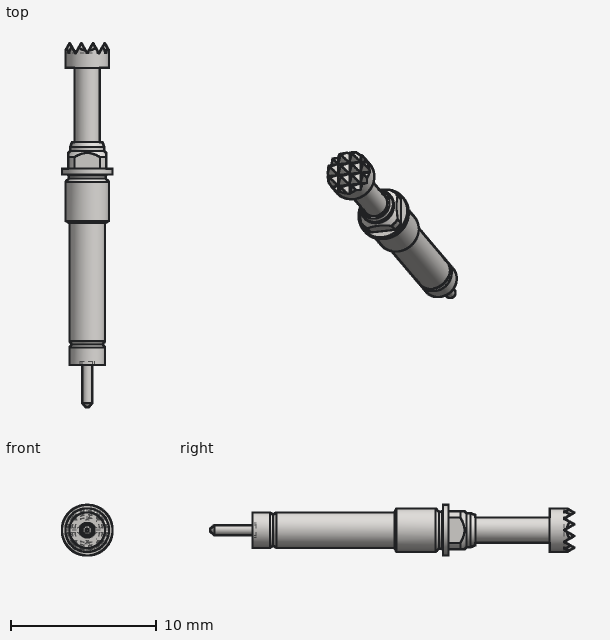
import cadquery as cq

length = 25.0

pin_radius = 0.35
pin_tip_radius = 0.1
pin_taper = 0.3
recess_radius = 0.5
recess_depth = 0.25

barrel_radius = 1.22
barrel_start = 2.9
groove_centre = 4.32
groove_half_width = 0.22
groove_radius = 1.08

ring_radius = 1.5
ring_start = 12.65
ring_rear_taper = 0.15
ring_end = 15.7
ring_front_taper = 0.22

neck_radius = 1.28
flange_radius = 1.75
flange_start = 15.98
flange_end = 16.38
flange_root_radius = 1.35
flange_root_length = 0.08

collar_radius = 1.58
collar_taper_start = 17.18
collar_end = 17.6
flat_distance = 2.62

nose_radius = 1.18
nose_end = 18.2
nose_chamfer_length = 0.32
nose_chamfer_width = 0.12
plunger_radius = 0.88

head_radius = 1.5
head_start = 23.3
tooth_pitch = 0.8
tooth_depth = 0.7
grooves_per_direction = 5


def turned_body():
    """Revolve the half section (radius, Y) about the Y axis."""
    section = [
        (0, 0),
        (pin_tip_radius, 0),
        (pin_radius, pin_taper),
        (pin_radius, barrel_start + recess_depth),
        (recess_radius, barrel_start + recess_depth),
        (recess_radius, barrel_start),
        (barrel_radius, barrel_start),
        (barrel_radius, groove_centre - groove_half_width),
        (groove_radius, groove_centre),
        (barrel_radius, groove_centre + groove_half_width),
        (barrel_radius, ring_start),
        (ring_radius, ring_start + ring_rear_taper),
        (ring_radius, ring_end - ring_front_taper),
        (neck_radius, ring_end),
        (neck_radius, flange_start - flange_root_length),
        (flange_root_radius, flange_start),
        (flange_radius, flange_start),
        (flange_radius, flange_end),
        (collar_radius, flange_end),
        (collar_radius, collar_taper_start),
        (nose_radius, collar_end),
        (nose_radius, nose_end - nose_chamfer_length),
        (nose_radius - nose_chamfer_width, nose_end),
        (plunger_radius, nose_end),
        (plunger_radius, head_start),
        (head_radius, head_start),
        (head_radius, length),
        (0, length),
    ]
    return cq.Workplane("XY").polyline(section).close().revolve(360, (0, 0, 0), (0, 1, 0))


def wrench_flats():
    """Material outside a square prism, over the length of the collar."""
    collar_length = collar_end - flange_end
    middle = (flange_end + collar_end) / 2
    blank = cq.Workplane("XY").box(2 * flange_radius, collar_length, 2 * flange_radius)
    square = cq.Workplane("XY").box(flat_distance, collar_length, flat_distance)
    return blank.cut(square).translate((0, middle, 0))


def crown_grooves():
    """V-grooves across the head along Z and along X, leaving a grid of pyramid teeth."""
    grooves = cq.Workplane("XY")
    for index in range(grooves_per_direction):
        offset = (index - (grooves_per_direction - 1) / 2) * tooth_pitch
        groove = (
            cq.Workplane("XY")
            .polyline([
                (offset - tooth_pitch / 2, length),
                (offset, length - tooth_depth),
                (offset + tooth_pitch / 2, length),
            ])
            .close()
            .extrude(head_radius, both=True)
        )
        grooves = grooves.add(groove).add(groove.rotate((0, 0, 0), (0, 1, 0), 90))
    return grooves.combine()


result = turned_body().cut(wrench_flats()).cut(crown_grooves())